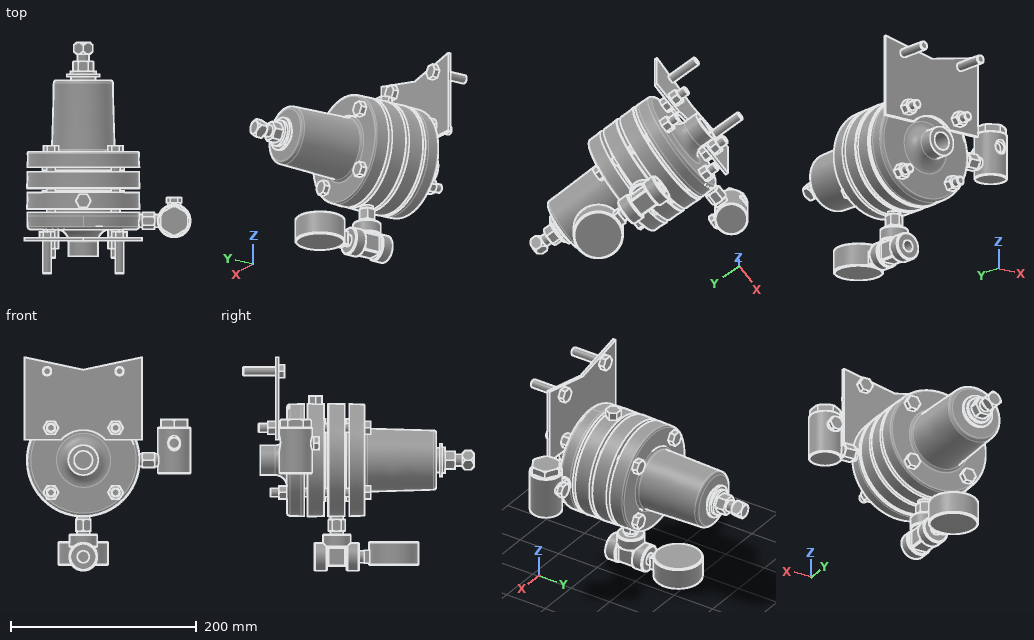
import cadquery as cq
import math


X_AXIS = cq.Vector(1, 0, 0)
Y_AXIS = cq.Vector(0, 1, 0)
Z_AXIS = cq.Vector(0, 0, 1)

COVER_THICK = 18.7
LOWER_START, LOWER_THICK = 21.7, 18.4
UPPER_START, UPPER_THICK = 44.1, 18.2
BONNET_FLANGE_START, BONNET_FLANGE_THICK = 67.0, 16.9
BONNET_FLANGE_END = BONNET_FLANGE_START + BONNET_FLANGE_THICK
FLANGE_RADIUS = 61.0
OUTER_FLANGE_RADIUS = 60.6
FLANGE_DRAFT = 0.5
FLANGE_EDGE = 0.7
COVER_RIM_WIDTH = 3.7
COVER_FILLET = 3.4
BONNET_FLANGE_FILLET = 1.8

CORE_RADIUS = 38.0
RING_RADIUS = 44.4
SEAL_RING_THICK = 1.6
GROOVE_OFFSET, GROOVE_WIDTH, GROOVE_DEPTH = 0.6, 0.9, 1.5

HUB_LENGTH = 28.9
HUB_RADIUS = 16.1
HUB_FLARE = 13.0
HUB_BORE_RADIUS = 10.0
HUB_BORE_DEPTH = 25.0

BONNET_END = 161.0
BONNET_BASE_RADIUS = 34.2
BONNET_TOP_RADIUS = 32.0
BONNET_TOP_FILLET = 3.2
BONNET_BASE_FILLET = 2.8

SCREW_NECK_RADIUS, SCREW_NECK_LENGTH = 13.4, 3.5
WASHER_RADIUS, WASHER_LENGTH = 17.9, 2.8
COLLAR_RADIUS, COLLAR_LENGTH = 14.1, 3.0
LOCKNUT_FLATS, LOCKNUT_LENGTH = 19.3, 11.0
STEM_RADIUS, STEM_LENGTH = 6.4, 7.5
HEAD_DIAGONAL, HEAD_LENGTH = 20.9, 12.82
HEAD_CHAMFER = 3.2

BOLT_OFFSET = 34.8
BOLT_RADIUS = 4.76
BOLT_POINT = 0.8
HEX_FLATS = 14.3
BOLT_HEAD_HEIGHT = 6.6
NUT_HEIGHT = 8.8
LOWER_BOLT_END = -18.0
UPPER_BOLT_END = -30.7
HEX_CORNER = 0.9

PLATE_HALF_WIDTH = 63.5
PLATE_THICK = 3.3
PLATE_BOTTOM = 21.8
PLATE_TOP = 111.0
PLATE_NOTCH_SLOPE = 12.0
PLATE_NOTCH_DEPTH = PLATE_HALF_WIDTH * math.tan(math.radians(PLATE_NOTCH_SLOPE))
PLATE_RELIEF_RADIUS = 32.4
PLATE_BACK = -NUT_HEIGHT
PLATE_FRONT = PLATE_BACK - PLATE_THICK
MOUNT_BOLT_X = 39.0
MOUNT_BOLT_Z = 95.8
MOUNT_BOLT_END = -47.4
MOUNT_HEAD_HEIGHT = 6.4

PLUG_FLATS = 14.3
PLUG_TOP = 69.3

FITTING_RADIUS = 7.0
FITTING_FLATS = 16.1
FITTING_CORNER = 0.9

RELIEF_X = 97.9
RELIEF_Y = COVER_THICK / 2
RELIEF_RADIUS = 17.78
RELIEF_BOTTOM, RELIEF_TOP = -14.5, 35.3
RELIEF_EDGE = 1.0
RELIEF_CAP_FLATS = 28.8
RELIEF_CAP_HEIGHT = 8.5
RELIEF_CAP_CORNER = 1.2
RELIEF_PORT_Z = 18.3
RELIEF_PORT_RADIUS = 5.9
RELIEF_PORT_MOUTH = 8.0
RELIEF_PISTON_RADIUS = 11.0
RELIEF_HEX_START, RELIEF_HEX_LENGTH = 63.5, 13.3
RELIEF_PLUG_NECK_END, RELIEF_PLUG_END = 28.8, 34.6

TEE_Y = 53.7
TEE_Z = -104.1
TEE_RADIUS = 15.1
TEE_HALF_RUN = 24.4
TEE_COLLAR = 14.0
TEE_BODY_WIDTH = 20.8
TEE_EDGE = 1.2
TEE_WEB = 1.6
TEE_BORE_RADIUS = 6.4
TEE_BORE_DEPTH = 15.0
TEE_HEX_TOP, TEE_HEX_LENGTH = -63.9, 12.5

GAUGE_Y = 115.1
GAUGE_RADIUS = 26.8
GAUGE_BOTTOM, GAUGE_HEIGHT = -113.4, 25.7
GAUGE_EDGE = 1.2
GAUGE_STEM_RADIUS = 6.6
GAUGE_BLOCK = 14.4
GAUGE_BLOCK_START = 83.2


def frame(base, direction, x_dir):
    return cq.Workplane(cq.Plane(origin=base, xDir=x_dir, normal=direction))


def cylinder(base, direction, radius, length):
    return cq.Workplane(cq.Solid.makeCylinder(radius, length, cq.Vector(*base), direction))


def hex_prism(base, direction, vertex_dir, flats, length, start_corner=0.0, end_corner=0.0):
    """Hexagonal prism with one vertex toward vertex_dir and optional conical corner chamfers."""
    diagonal = flats / math.cos(math.radians(30))
    prism = frame(base, direction, vertex_dir).polygon(6, diagonal).extrude(length)
    envelope = frame(base, direction, vertex_dir).circle(diagonal / 2).extrude(length)
    if start_corner:
        start_face = cq.selectors.DirectionMinMaxSelector(direction, False)
        envelope = envelope.faces(start_face).chamfer(start_corner)
    if end_corner:
        end_face = cq.selectors.DirectionMinMaxSelector(direction, True)
        envelope = envelope.faces(end_face).chamfer(end_corner)
    return prism.intersect(envelope)


def cone_along_y(start, length, start_radius, end_radius):
    return cq.Workplane(cq.Solid.makeCone(start_radius, end_radius, length, cq.Vector(0, start, 0), Y_AXIS))


def flared_base(start, toward, radius, flare):
    """Solid of revolution about Y that narrows to the given radius through a concave quarter arc."""
    arc_inset = flare * math.sqrt(0.5)
    arc_middle = (radius + flare - arc_inset, start + toward * (flare - arc_inset))
    profile = (
        cq.Workplane("XY")
        .moveTo(0, start)
        .lineTo(radius + flare, start)
        .threePointArc(arc_middle, (radius, start + toward * flare))
        .lineTo(0, start + toward * flare)
        .close()
    )
    return profile.revolve(360, (0, 0, 0), (0, 1, 0))


def make_cover():
    """Front flange: short straight rim at the back, then drafted to a rounded front edge."""
    front_radius = OUTER_FLANGE_RADIUS - FLANGE_DRAFT
    draft_length = COVER_THICK - COVER_RIM_WIDTH
    drafted = cone_along_y(0, draft_length, front_radius, OUTER_FLANGE_RADIUS)
    drafted = drafted.faces("<Y").edges().fillet(COVER_FILLET)
    return drafted.union(cylinder((0, draft_length, 0), Y_AXIS, OUTER_FLANGE_RADIUS, COVER_RIM_WIDTH))


def make_middle_flange(start, thick):
    flange = cone_along_y(start, thick, FLANGE_RADIUS, FLANGE_RADIUS - FLANGE_DRAFT)
    return flange.faces("<Y").edges().chamfer(FLANGE_EDGE)


def make_flange_stack():
    core = cylinder((0, COVER_THICK, 0), Y_AXIS, CORE_RADIUS, BONNET_FLANGE_START - COVER_THICK)
    stack = make_cover().union(core)
    stack = stack.union(make_middle_flange(LOWER_START, LOWER_THICK))
    stack = stack.union(make_middle_flange(UPPER_START, UPPER_THICK))

    seal_ring = cylinder((0, LOWER_START + LOWER_THICK, 0), Y_AXIS, RING_RADIUS, SEAL_RING_THICK)

    upper_end = UPPER_START + UPPER_THICK
    spacer = cylinder((0, upper_end, 0), Y_AXIS, RING_RADIUS, BONNET_FLANGE_START - upper_end)
    groove_start = (0, upper_end + GROOVE_OFFSET, 0)
    groove = cylinder(groove_start, Y_AXIS, RING_RADIUS, GROOVE_WIDTH)
    groove = groove.cut(cylinder(groove_start, Y_AXIS, RING_RADIUS - GROOVE_DEPTH, GROOVE_WIDTH))
    return stack.union(seal_ring).union(spacer.cut(groove))


def make_bonnet():
    flange = cone_along_y(
        BONNET_FLANGE_START, BONNET_FLANGE_THICK, OUTER_FLANGE_RADIUS, OUTER_FLANGE_RADIUS - FLANGE_DRAFT
    )
    flange = flange.faces(">Y").edges().fillet(BONNET_FLANGE_FILLET)
    housing_length = BONNET_END - BONNET_FLANGE_END
    housing = cone_along_y(BONNET_FLANGE_END, housing_length, BONNET_BASE_RADIUS, BONNET_TOP_RADIUS)
    housing = housing.faces(">Y").edges().fillet(BONNET_TOP_FILLET)
    taper = (BONNET_BASE_RADIUS - BONNET_TOP_RADIUS) / housing_length
    base_radius = BONNET_BASE_RADIUS - taper * BONNET_BASE_FILLET
    base = flared_base(BONNET_FLANGE_END, 1, base_radius, BONNET_BASE_FILLET)
    return flange.union(housing).union(base)


def make_hub():
    hub = flared_base(0, -1, HUB_RADIUS, HUB_FLARE)
    return hub.union(cylinder((0, 0, 0), -Y_AXIS, HUB_RADIUS, HUB_LENGTH))


def make_hub_bore():
    return cylinder((0, -HUB_LENGTH, 0), Y_AXIS, HUB_BORE_RADIUS, HUB_BORE_DEPTH)


def make_adjusting_screw():
    """Neck, washer, collar, locknut, stem and square head, stacked outward from the bonnet."""
    screw = cq.Workplane()
    start = BONNET_END
    round_steps = [
        (SCREW_NECK_RADIUS, SCREW_NECK_LENGTH),
        (WASHER_RADIUS, WASHER_LENGTH),
        (COLLAR_RADIUS, COLLAR_LENGTH),
    ]
    for radius, length in round_steps:
        screw = screw.add(cylinder((0, start, 0), Y_AXIS, radius, length))
        start += length
    screw = screw.combine()

    locknut = hex_prism(
        (0, start, 0), Y_AXIS, X_AXIS, LOCKNUT_FLATS, LOCKNUT_LENGTH, HEX_CORNER, HEX_CORNER
    )
    start += LOCKNUT_LENGTH
    stem = cylinder((0, start, 0), Y_AXIS, STEM_RADIUS, STEM_LENGTH)
    start += STEM_LENGTH

    head = frame((0, start, 0), Y_AXIS, X_AXIS).polygon(4, HEAD_DIAGONAL).extrude(HEAD_LENGTH)
    envelope = cylinder((0, start, 0), Y_AXIS, HEAD_DIAGONAL / 2, HEAD_LENGTH)
    envelope = envelope.faces("<Y or >Y").edges().chamfer(HEAD_CHAMFER)
    return screw.union(locknut).union(stem).union(head.intersect(envelope))


def make_bolt(x, z, head_end, head_height, tip):
    """Hex bolt along Y with its head at the +Y end and a chamfered tip."""
    head = hex_prism((x, head_end, z), -Y_AXIS, X_AXIS, HEX_FLATS, head_height)
    shank = cylinder((x, tip, z), Y_AXIS, BOLT_RADIUS, head_end - tip)
    return head.union(shank.faces("<Y").edges().chamfer(BOLT_POINT))


def make_nut(x, z, start):
    return hex_prism((x, start, z), -Y_AXIS, X_AXIS, HEX_FLATS, NUT_HEIGHT, 0, HEX_CORNER)


def make_flange_bolts():
    """Lower pair carries one nut each; the longer upper pair clamps the plate between two nuts."""
    head_end = BONNET_FLANGE_END + BOLT_HEAD_HEIGHT
    bolts = cq.Workplane()
    for x in (-BOLT_OFFSET, BOLT_OFFSET):
        bolts = bolts.add(make_bolt(x, -BOLT_OFFSET, head_end, BOLT_HEAD_HEIGHT, LOWER_BOLT_END))
        bolts = bolts.add(make_bolt(x, BOLT_OFFSET, head_end, BOLT_HEAD_HEIGHT, UPPER_BOLT_END))
        bolts = bolts.add(make_nut(x, BOLT_OFFSET, PLATE_FRONT))
        for z in (-BOLT_OFFSET, BOLT_OFFSET):
            bolts = bolts.add(make_nut(x, z, 0))
    return bolts.combine()


def make_mounting_plate():
    outline = [
        (-PLATE_HALF_WIDTH, PLATE_BOTTOM),
        (-PLATE_HALF_WIDTH, PLATE_TOP),
        (0, PLATE_TOP - PLATE_NOTCH_DEPTH),
        (PLATE_HALF_WIDTH, PLATE_TOP),
        (PLATE_HALF_WIDTH, PLATE_BOTTOM),
    ]
    plate = frame((0, PLATE_BACK, 0), -Y_AXIS, X_AXIS).polyline(outline).close().extrude(PLATE_THICK)
    plate = plate.cut(cylinder((0, PLATE_BACK, 0), -Y_AXIS, PLATE_RELIEF_RADIUS, PLATE_THICK))
    for x in (-MOUNT_BOLT_X, MOUNT_BOLT_X):
        head_end = PLATE_BACK + MOUNT_HEAD_HEIGHT
        plate = plate.union(make_bolt(x, MOUNT_BOLT_Z, head_end, MOUNT_HEAD_HEIGHT, MOUNT_BOLT_END))
    return plate


def make_vent_plug():
    center_y = LOWER_START + LOWER_THICK / 2
    return hex_prism((0, center_y, CORE_RADIUS), Z_AXIS, X_AXIS, PLUG_FLATS, PLUG_TOP - CORE_RADIUS)


def make_relief_valve():
    body = cylinder(
        (RELIEF_X, RELIEF_Y, RELIEF_BOTTOM), Z_AXIS, RELIEF_RADIUS, RELIEF_TOP - RELIEF_BOTTOM
    )
    body = body.faces("<Z or >Z").edges().chamfer(RELIEF_EDGE)
    cap = hex_prism(
        (RELIEF_X, RELIEF_Y, RELIEF_TOP), Z_AXIS, Y_AXIS, RELIEF_CAP_FLATS, RELIEF_CAP_HEIGHT,
        0, RELIEF_CAP_CORNER,
    )

    port_base = (RELIEF_X, RELIEF_Y - RELIEF_RADIUS, RELIEF_PORT_Z)
    port = cylinder(port_base, Y_AXIS, RELIEF_PORT_RADIUS, RELIEF_RADIUS)
    mouth_depth = RELIEF_PORT_MOUTH - RELIEF_PORT_RADIUS
    mouth = cq.Solid.makeCone(
        RELIEF_PORT_MOUTH, RELIEF_PORT_RADIUS, mouth_depth, cq.Vector(*port_base), Y_AXIS
    )
    piston = cylinder(
        (RELIEF_X, RELIEF_Y, RELIEF_BOTTOM), Z_AXIS, RELIEF_PISTON_RADIUS, RELIEF_TOP - RELIEF_BOTTOM
    )
    body = body.cut(port.cut(piston)).cut(cq.Workplane(mouth))

    inlet_base = (CORE_RADIUS, RELIEF_Y, 0)
    inlet = cylinder(inlet_base, X_AXIS, FITTING_RADIUS, RELIEF_X - CORE_RADIUS - RELIEF_PISTON_RADIUS)
    inlet_hex = hex_prism(
        (RELIEF_HEX_START, RELIEF_Y, 0), X_AXIS, Y_AXIS, FITTING_FLATS, RELIEF_HEX_LENGTH,
        FITTING_CORNER, FITTING_CORNER,
    )

    plug_base = (RELIEF_X, RELIEF_Y, RELIEF_PORT_Z)
    plug_neck = cylinder(plug_base, Y_AXIS, FITTING_RADIUS, RELIEF_PLUG_NECK_END - RELIEF_Y)
    plug_head = hex_prism(
        (RELIEF_X, RELIEF_PLUG_NECK_END, RELIEF_PORT_Z), Y_AXIS, X_AXIS, PLUG_FLATS,
        RELIEF_PLUG_END - RELIEF_PLUG_NECK_END, 0, HEX_CORNER,
    )
    return body.union(cap).union(inlet).union(inlet_hex).union(plug_neck).union(plug_head)


def make_tee_collar(end, inward):
    """Round collar of the tee, from its open end inward to the square body, with both rims chamfered."""
    collar = cylinder(end, inward, TEE_RADIUS, TEE_COLLAR)
    return collar.edges("%CIRCLE").chamfer(TEE_EDGE)


def make_tee_webs():
    """Sloped webs joining the +X and -X faces of the square body to the inner ends of the run collars."""
    half_width = TEE_BODY_WIDTH / 2
    gap_end = TEE_HALF_RUN - TEE_COLLAR
    height = TEE_BODY_WIDTH - 2 * TEE_EDGE
    profile = (
        cq.Workplane("XY", origin=(0, 0, -height / 2))
        .moveTo(0, gap_end)
        .lineTo(half_width + TEE_WEB, gap_end)
        .lineTo(half_width, gap_end - TEE_WEB)
        .lineTo(half_width, 0)
        .lineTo(0, 0)
        .close()
    )
    corner = profile.extrude(height)
    side = corner.union(corner.mirror("XZ"))
    return side.union(side.mirror("YZ"))


def make_tee():
    center = (0, TEE_Y, TEE_Z)
    tee = cq.Workplane("XY").box(TEE_BODY_WIDTH, 2 * TEE_HALF_RUN - TEE_COLLAR, TEE_BODY_WIDTH)
    tee = tee.edges("|Y").chamfer(TEE_EDGE).union(make_tee_webs()).translate(center)
    tee = tee.union(make_tee_collar((0, TEE_Y - TEE_HALF_RUN, TEE_Z), Y_AXIS))
    tee = tee.union(make_tee_collar((0, TEE_Y + TEE_HALF_RUN, TEE_Z), -Y_AXIS))
    tee = tee.union(make_tee_collar((0, TEE_Y, TEE_Z + TEE_HALF_RUN), -Z_AXIS))
    bore_base = (0, TEE_Y - TEE_HALF_RUN, TEE_Z)
    tee = tee.cut(cylinder(bore_base, Y_AXIS, TEE_BORE_RADIUS, TEE_BORE_DEPTH))

    top = TEE_Z + TEE_HALF_RUN
    nipple = cylinder((0, TEE_Y, top), Z_AXIS, FITTING_RADIUS, -CORE_RADIUS - top)
    nipple_hex = hex_prism(
        (0, TEE_Y, TEE_HEX_TOP), -Z_AXIS, Y_AXIS, FITTING_FLATS, TEE_HEX_LENGTH,
        FITTING_CORNER, FITTING_CORNER,
    )
    return tee.union(nipple).union(nipple_hex)


def make_gauge():
    case = cylinder((0, GAUGE_Y, GAUGE_BOTTOM), Z_AXIS, GAUGE_RADIUS, GAUGE_HEIGHT)
    case = case.faces("<Z or >Z").edges().chamfer(GAUGE_EDGE)
    stem_start = TEE_Y + TEE_HALF_RUN
    stem = cylinder(
        (0, stem_start, TEE_Z), Y_AXIS, GAUGE_STEM_RADIUS, GAUGE_BLOCK_START - stem_start
    )
    block = frame((0, GAUGE_BLOCK_START, TEE_Z), Y_AXIS, X_AXIS).rect(GAUGE_BLOCK, GAUGE_BLOCK)
    return case.union(stem).union(block.extrude(GAUGE_Y - GAUGE_BLOCK_START))


result = make_flange_stack()
for component in (
    make_bonnet(),
    make_hub(),
    make_adjusting_screw(),
    make_flange_bolts(),
    make_mounting_plate(),
    make_vent_plug(),
    make_relief_valve(),
    make_tee(),
    make_gauge(),
):
    result = result.union(component)
result = result.cut(make_hub_bore())